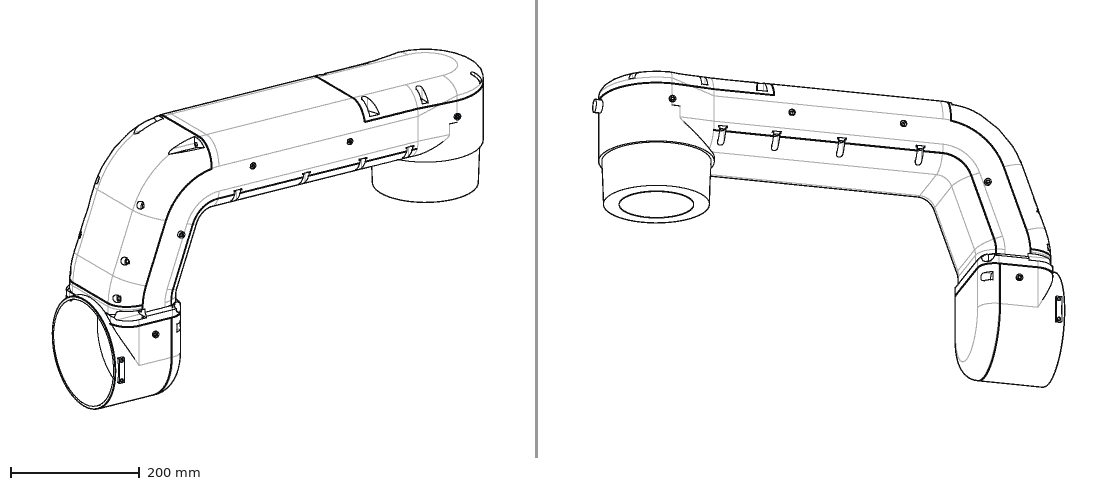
import cadquery as cq
import math


DRUM_R = 90.0
ARM_TOP = 340.03
ARM_DEPTH = 120.0
ARM_HALF = 85.0
FLAT_HALF = 50.0
TOP_ROUND = 41.0
BOTTOM_ROUND = 37.0
ARM_BOTTOM = ARM_TOP - ARM_DEPTH

NECK_END = -69.0
BEND_START = -438.5
OUTER_BEND_R = 146.0
LEAN = math.radians(20)
FOREARM_LENGTH = 108.0
ARM_FOOT = 60.0
BEND_Z = ARM_TOP - OUTER_BEND_R

DRUM_BOTTOM = 214.0
DRUM_FRONT_TOP = 275.0
CAP_EDGE = 320.0
SPIGOT_TOP_R = 85.0
SPIGOT_BOTTOM_R = 82.5
SPIGOT_BOTTOM = 143.0
SPIGOT_DISC_R = 58.0
SPIGOT_DISC_HEIGHT = 1.0
PORT_R = 10.5
PORT_Z = 296.0
PORT_END = 100.0

ELBOW_BACK = -500.5
ELBOW_FRONT = -622.0
RING_FRONT = -634.0
BORE_R = 85.0
BORE_FLOOR = -553.0
COLLAR_TOP = 84.6
COLLAR_CHAMFER = 5.0
BACK_ROUND = 27.0
FRONT_ROUND = 32.0
RIM_CHAMFER = 1.0
SIDE_REACH = 93.0

GROOVE = 1.2
GROOVE_DEPTH = 0.8
CAP_JOINT_Z = 311.0
CAP_JOINT_END = -166.0
ELBOW_COVER_START = -451.0
LOWER_JOINT = 24.0
FOREARM_COVER_END = 97.0
COLLAR_JOINT = 66.0

NUB_R = 5.0
SIDE_SCREW_Z = 285.0
SCREW_R = 3.0
HEAD_R = 5.0
SOCKET_R = 2.5
SOCKET_DEPTH = 2.0
SIDES = (-1, 1)
FAR = 50.0


def box(x, y, z):
    """Axis-aligned box from three (low, high) ranges in any order."""
    spans = [abs(b - a) for a, b in (x, y, z)]
    lows = [min(a, b) for a, b in (x, y, z)]
    return cq.Workplane("XY").box(*spans, centered=False).translate(tuple(lows))


def rod(start, direction, length, radius):
    return cq.Workplane(cq.Solid.makeCylinder(radius, length, cq.Vector(*start), cq.Vector(*direction)))


def carve(body, tools):
    """Cut all the tools from the body in one operation."""
    return cq.Workplane(body.val().cut(*[tool.val() for tool in tools]))


def section(y, half, top_round, inset=0.0):
    """Closed arm section in the XZ plane at the given Y."""
    side = half - inset
    top = ARM_TOP - inset
    bottom = ARM_BOTTOM + inset
    low = BOTTOM_ROUND - inset
    across = side - FLAT_HALF
    rise = top_round - inset
    slope = low * (1 - math.sqrt(0.5))
    return (
        cq.Workplane("XZ", origin=(0, y, 0))
        .moveTo(-side + low, bottom)
        .lineTo(side - low, bottom)
        .threePointArc((side - slope, bottom + slope), (side, bottom + low))
        .lineTo(side, top - rise)
        .ellipseArc(across, rise, 0, 90, sense=1)
        .lineTo(-FLAT_HALF, top)
        .ellipseArc(across, rise, 90, 180, sense=1)
        .lineTo(-side, bottom + low)
        .threePointArc((-side + slope, bottom + slope), (-side + low, bottom))
        .close()
    )


def bend_point(radius, lean):
    """Point (Y, Z) on the first bend where the surface leans by the given angle."""
    return (BEND_START - radius * math.cos(lean), BEND_Z + radius * math.sin(lean))


LOWER_BEND = (
    BEND_START - FOREARM_LENGTH * math.sin(LEAN),
    BEND_Z - FOREARM_LENGTH * math.cos(LEAN),
)


def lower_bend_point(radius, lean):
    return (LOWER_BEND[0] - radius * math.cos(lean), LOWER_BEND[1] + radius * math.sin(lean))


def arm_path(depth):
    """Line parallel to the arm, lying the given depth below its top surface."""
    radius = OUTER_BEND_R - depth
    upper_mid = (math.pi / 2 + LEAN) / 2
    return (
        cq.Workplane("YZ")
        .moveTo(NECK_END, ARM_TOP - depth)
        .lineTo(BEND_START, ARM_TOP - depth)
        .threePointArc(bend_point(radius, upper_mid), bend_point(radius, LEAN))
        .lineTo(*lower_bend_point(radius, LEAN))
        .threePointArc(lower_bend_point(radius, LEAN / 2), lower_bend_point(radius, 0))
        .lineTo(LOWER_BEND[0] - radius, ARM_FOOT)
    )


def turn_down(body, angle_deg):
    """Turn a body about the X axis through the first bend's centre, front side down."""
    centre = (0, BEND_START, BEND_Z)
    return body.rotate(centre, (1, BEND_START, BEND_Z), angle_deg)


def arm(inset=0.0):
    """Arm as straight, bend, straight forearm, bend and straight foot, shrunk by the inset."""
    def profile(y):
        return section(y, ARM_HALF, TOP_ROUND, inset)

    def bend(angle_deg):
        return profile(BEND_START).revolve(angle_deg, (0, BEND_Z, 0), (1, BEND_Z, 0))

    lean_deg = math.degrees(LEAN)
    slope_deg = 90 - lean_deg
    to_lower_bend = (0, LOWER_BEND[0] - BEND_START, LOWER_BEND[1] - BEND_Z)
    straight = profile(NECK_END).extrude(NECK_END - BEND_START)
    forearm = turn_down(profile(BEND_START).extrude(FOREARM_LENGTH), slope_deg)
    lower_bend = turn_down(bend(lean_deg), slope_deg).translate(to_lower_bend)
    foot = turn_down(profile(BEND_START).extrude(LOWER_BEND[1] - ARM_FOOT), 90).translate(to_lower_bend)
    return straight.union(bend(slope_deg)).union(forearm).union(lower_bend).union(foot)


def neck():
    wide = section(0, DRUM_R, ARM_TOP - CAP_EDGE).wires().val()
    narrow = section(NECK_END, ARM_HALF, TOP_ROUND).wires().val()
    return cq.Workplane(cq.Solid.makeLoft([wide, narrow], True))


def shoulder():
    """Drum with a domed back half, a plain front half under the neck, and the spigot below."""
    dome = (
        cq.Workplane("XZ")
        .moveTo(0, DRUM_BOTTOM)
        .lineTo(DRUM_R, DRUM_BOTTOM)
        .lineTo(DRUM_R, CAP_EDGE)
        .ellipseArc(DRUM_R - FLAT_HALF, ARM_TOP - CAP_EDGE, 0, 90, sense=1)
        .lineTo(0, ARM_TOP)
        .close()
        .revolve(180, (0, 0, 0), (0, 1, 0))
    )
    front = rod((0, 0, DRUM_BOTTOM), (0, 0, 1), DRUM_FRONT_TOP - DRUM_BOTTOM, DRUM_R)
    front = front.intersect(box((-DRUM_R, DRUM_R), (-DRUM_R, 0), (DRUM_BOTTOM, ARM_TOP)))
    spigot = cq.Workplane(
        cq.Solid.makeCone(SPIGOT_BOTTOM_R, SPIGOT_TOP_R, DRUM_BOTTOM - SPIGOT_BOTTOM)
    ).translate((0, 0, SPIGOT_BOTTOM))
    disc = rod((0, 0, SPIGOT_BOTTOM), (0, 0, -1), SPIGOT_DISC_HEIGHT, SPIGOT_DISC_R)
    port = rod((0, 0, PORT_Z), (0, 1, 0), PORT_END, PORT_R)
    return dome.union(front).union(spigot).union(disc).union(port)


def elbow():
    ring = rod((0, ELBOW_BACK, 0), (0, -1, 0), ELBOW_BACK - RING_FRONT, DRUM_R)
    ring = ring.faces(">Y").edges().fillet(BACK_ROUND)
    ring = ring.faces("<Y").edges().chamfer(RIM_CHAMFER)
    housing = box((-DRUM_R, DRUM_R), (ELBOW_BACK, ELBOW_FRONT), (0, COLLAR_TOP))
    housing = housing.edges("|Z and <Y").fillet(FRONT_ROUND)
    housing = housing.edges("|Z and >Y").fillet(BACK_ROUND)
    return ring.union(housing.faces(">Z").chamfer(COLLAR_CHAMFER))


def nubs():
    """Round screw heads standing out from both sides, each with a socket."""
    heads = (
        (0, SIDE_SCREW_Z, SIDE_REACH),
        (-510.0, 201.0, DRUM_R),
        (-560.0, 46.0, SIDE_REACH),
    )
    root = 15.0
    made = cq.Workplane()
    for side in SIDES:
        for y, z, reach in heads:
            start = (side * reach, y, z)
            inward = (-side, 0, 0)
            head = rod(start, inward, root, NUB_R)
            made = made.add(head.cut(rod(start, inward, SOCKET_DEPTH, SOCKET_R)))
    return made.combine()


def side_pads():
    """Low rectangular pads on both sides of the ring, each with two screw holes."""
    half_height = 20.5
    hole_z = 16.5
    back = -619.0
    front = -628.0
    pads = cq.Workplane()
    for side in SIDES:
        pad = box((side * BORE_R, side * SIDE_REACH), (front, back), (-half_height, half_height))
        for z in (-hole_z, hole_z):
            start = (side * SIDE_REACH, (front + back) / 2, z)
            pad = pad.cut(rod(start, (-side, 0, 0), SOCKET_DEPTH, SOCKET_R))
        pads = pads.add(pad)
    return pads.combine()


def ring_bore():
    return rod((0, RING_FRONT, 0), (0, 1, 0), BORE_FLOOR - RING_FRONT, BORE_R)


def side_groove(depth, start, core):
    """Parting groove along both sides of the arm, from the start Y on, its upper edge at the depth."""
    upper = arm_path(depth).wire().val()
    lower = arm_path(depth + GROOVE).wire().val()
    ends = [
        cq.Edge.makeLine(upper.startPoint(), lower.startPoint()),
        cq.Edge.makeLine(upper.endPoint(), lower.endPoint()),
    ]
    outline = cq.Wire.combine([upper, lower] + ends)[0]
    reach = ARM_HALF + GROOVE_DEPTH
    strip = cq.Solid.extrudeLinear(outline, [], cq.Vector(2 * reach, 0, 0))
    ahead = (start, RING_FRONT)
    heights = (0, ARM_TOP)
    strip = cq.Workplane(strip).translate((-reach, 0, 0)).intersect(box((-reach, reach), ahead, heights))
    return strip.cut(core)


def cross_groove(y, low, core):
    """Parting groove running over the top of the arm, down to the height low."""
    return box((-DRUM_R, DRUM_R), (y, y - GROOVE), (low, ARM_TOP + FAR)).cut(core)


def cap_joint():
    """Groove around the drum and along the arm under the shoulder cover."""
    slab = box((-FAR - DRUM_R, FAR + DRUM_R), (CAP_JOINT_END, DRUM_R + FAR), (0, GROOVE))
    lift = CAP_JOINT_Z - (ARM_TOP - TOP_ROUND)
    spread = (ARM_HALF - FLAT_HALF) * math.sqrt(1 - (lift / TOP_ROUND) ** 2)
    arm_side = FLAT_HALF + spread - GROOVE_DEPTH
    drum_side = DRUM_R - GROOVE_DEPTH
    core = (
        cq.Workplane("XY")
        .moveTo(drum_side, 0)
        .threePointArc((0, drum_side), (-drum_side, 0))
        .lineTo(-arm_side, NECK_END)
        .lineTo(-arm_side, CAP_JOINT_END - FAR)
        .lineTo(arm_side, CAP_JOINT_END - FAR)
        .lineTo(arm_side, NECK_END)
        .close()
        .extrude(GROOVE)
    )
    return slab.cut(core).translate((0, 0, CAP_JOINT_Z - GROOVE / 2))


def housing_grooves():
    """Groove around the elbow body behind the ring, and one under its collar."""
    y = ELBOW_BACK - BACK_ROUND - GROOVE
    reach = DRUM_R + FAR
    core_r = DRUM_R - GROOVE_DEPTH
    around = box((-reach, reach), (y, y - GROOVE), (-reach, COLLAR_JOINT))
    around = around.cut(rod((0, y, 0), (0, -1, 0), GROOVE, core_r))
    around = around.cut(box((-core_r, core_r), (y, y - GROOVE), (0, COLLAR_JOINT)))

    level = (COLLAR_JOINT, COLLAR_JOINT + GROOVE)
    under = box((-reach, reach), (ELBOW_BACK, ELBOW_FRONT - GROOVE), level)
    core = box(
        (-core_r, core_r),
        (ELBOW_BACK - GROOVE_DEPTH, ELBOW_FRONT + GROOVE_DEPTH),
        level,
    )
    core = core.edges("|Z and <Y").fillet(FRONT_ROUND).edges("|Z and >Y").fillet(BACK_ROUND)
    return around, under.cut(core)


def cover_notches():
    """Screw seats in the shoulder cover, open toward the outside of the part."""
    tools = []
    reach = 30.0
    seats = (
        (60.0, 51.0, 321.0, 45.0, 0.0),
        (66.0, -54.5, 317.0, 0.0, 0.0),
        (59.0, -151.0, 317.0, 0.0, 10.0),
    )
    for x, y, floor, turn, flare in seats:
        slot = (
            cq.Workplane("XY", origin=(0, 0, floor))
            .polyline([(0, -HEAD_R), (reach, -HEAD_R), (reach, HEAD_R + flare), (0, HEAD_R)])
            .close()
            .extrude(FAR)
        )
        seat = slot.union(rod((0, 0, floor), (0, 0, 1), FAR, HEAD_R))
        seat = seat.union(rod((0, 0, floor), (0, 0, -1), HEAD_R, SCREW_R))
        seat = seat.rotate((0, 0, 0), (0, 0, 1), turn).translate((x, y, 0))
        tools += [seat, seat.mirror("YZ")]
    return tools


def underside_slots():
    """Upright screw seats open through the rounded bottom corners, with a wider lip on top."""
    tools = []
    x = 72.0
    top = 249.0
    lip_half = 7.0
    lip_height = 2.0
    for y in (-83.5, -170.5, -275.5, -402.5):
        for side in SIDES:
            outward = (side * x, side * (x + FAR))
            seat = rod((side * x, y, top), (0, 0, -1), FAR, HEAD_R)
            seat = seat.union(box(outward, (y - HEAD_R, y + HEAD_R), (top - FAR, top)))
            lip = box(outward, (y - lip_half, y + lip_half), (top, top + lip_height))
            tools.append(seat.union(lip))
    return tools


def side_screws():
    """Sunk screws in the flat sides of the arm, each with a deeper socket."""
    tools = []
    depth = 3.0
    for y in (-195.0, -375.0):
        for side in SIDES:
            start = (side * ARM_HALF, y, SIDE_SCREW_Z)
            inward = (-side, 0, 0)
            tools.append(rod(start, inward, depth, HEAD_R))
            tools.append(rod(start, inward, depth + SOCKET_DEPTH, SOCKET_R))
    return tools


def bend_pockets():
    """Screw channels at the start of the bend, with floors that rise toward the arm sides."""
    back = -457.0
    length = 80.0
    floor = 322.5
    channel_x = 49.0
    outer_x = 72.0
    outer_floor = 330.0
    inner_x = channel_x - HEAD_R
    sky = ARM_TOP + FAR
    middle_z = floor + HEAD_R
    pocket = (
        cq.Workplane("XZ", origin=(0, back, 0))
        .polyline([
            (inner_x, middle_z),
            (channel_x, floor),
            (outer_x, outer_floor),
            (outer_x, sky),
            (inner_x, sky),
        ])
        .close()
        .extrude(length)
    )
    channel = rod((channel_x, back, middle_z), (0, -1, 0), length, HEAD_R)
    screw = rod((channel_x, back, middle_z), (0, 1, 0), HEAD_R, SCREW_R)
    pocket = pocket.union(channel).union(screw)
    return [pocket, pocket.mirror("YZ")]


def forearm_screws():
    """Counterbored screws along the front corners of the forearm, square to its surface."""
    tools = []
    head_r = 6.0
    seat_depth = 9.0
    seat_radius = OUTER_BEND_R - seat_depth
    first_lean = math.radians(25)
    last_lean = math.radians(7)
    down_slope = 79.0
    slope_y, slope_z = bend_point(seat_radius, LEAN)
    middle = (slope_y - down_slope * math.sin(LEAN), slope_z - down_slope * math.cos(LEAN))
    screws = (
        (61.0, bend_point(seat_radius, first_lean), first_lean),
        (63.5, middle, LEAN),
        (66.0, lower_bend_point(seat_radius, last_lean), last_lean),
    )
    for x, (y, z), lean in screws:
        out = (0, -math.cos(lean), math.sin(lean))
        inward = (0, -out[1], -out[2])
        for side in SIDES:
            tools.append(rod((side * x, y, z), out, FAR, head_r))
            tools.append(rod((side * x, y, z), inward, head_r, SCREW_R))
    return tools


def collar_notches():
    """Screw seats in the elbow collar and in the back corners of the elbow body."""
    tools = []
    x = 72.0
    z = 83.5
    seat_r = 6.5
    seat_back = -576.0
    corner_x = 80.0
    corner_z = 46.0
    corner_depth = 18.0
    rear_x = 84.0
    rear_z = 79.0
    rear_r = 8.5
    rear_depth = 14.0
    for side in SIDES:
        seat = rod((side * x, seat_back, z), (0, -1, 0), FAR, seat_r)
        seat = seat.union(
            box((side * x, side * (x + FAR)), (seat_back, ELBOW_FRONT), (z - seat_r, z + seat_r))
        )
        seat = seat.union(rod((side * x, seat_back, z), (0, 1, 0), seat_r, SCREW_R))
        corner = rod((side * corner_x, ELBOW_BACK, corner_z), (0, -1, 0), corner_depth, seat_r)
        corner = corner.union(
            box(
                (side * corner_x, side * (corner_x + FAR)),
                (ELBOW_BACK, ELBOW_BACK - corner_depth),
                (corner_z - seat_r, corner_z + seat_r),
            )
        )
        rear = rod((side * rear_x, ELBOW_BACK, rear_z), (0, -1, 0), rear_depth, rear_r)
        tip_start = cq.Vector(side * rear_x, ELBOW_BACK - rear_depth, rear_z)
        tip = cq.Solid.makeCone(rear_r, 0, rear_depth, tip_start, cq.Vector(0, -1, 0))
        tools += [seat, corner, rear.union(cq.Workplane(tip))]
    return tools


def forearm_cover_edge(core):
    """Groove across the front of the forearm just above the elbow."""
    level = (FOREARM_COVER_END, FOREARM_COVER_END + GROOVE)
    front = LOWER_BEND[0] - OUTER_BEND_R
    back = front + TOP_ROUND + GROOVE
    return box((-DRUM_R, DRUM_R), (back, front - GROOVE), level).cut(core)


link = arm().union(neck()).union(shoulder()).union(elbow())
groove_core = arm(GROOVE_DEPTH)
grooves = [
    cap_joint(),
    cross_groove(CAP_JOINT_END, CAP_JOINT_Z, groove_core),
    cross_groove(ELBOW_COVER_START, ARM_TOP - TOP_ROUND - GROOVE, groove_core),
    side_groove(TOP_ROUND, ELBOW_COVER_START, groove_core),
    side_groove(ARM_DEPTH - LOWER_JOINT, NECK_END, groove_core),
    forearm_cover_edge(groove_core),
    *housing_grooves(),
]
screw_seats = cover_notches() + underside_slots() + side_screws()
screw_seats += bend_pockets() + forearm_screws() + collar_notches()
link = carve(link, grooves)
link = carve(link, screw_seats)
link = link.union(nubs()).union(side_pads())
result = link.cut(ring_bore())